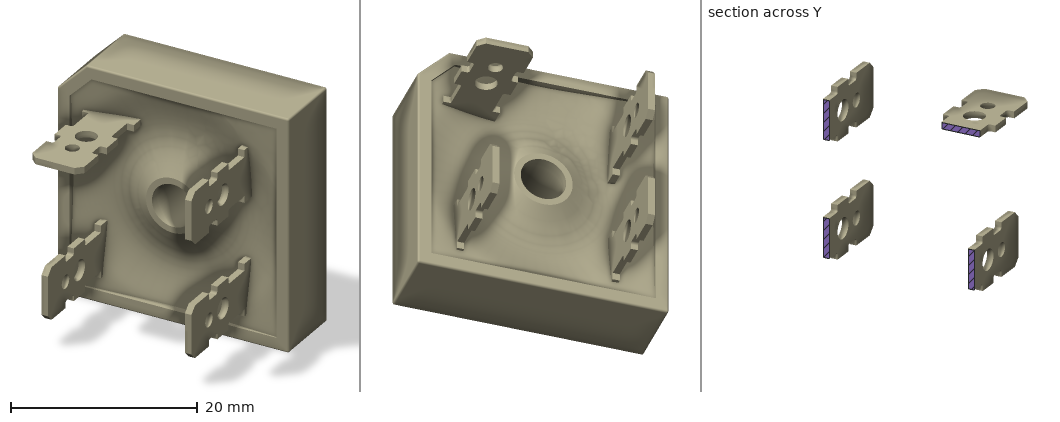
import cadquery as cq
import math


side = 28.4
case_depth = 8.35
corner_cut = 3.58
edge_radius = 0.23
rear_edge_radius = 0.1
hole_diameter = 5.15
boss_diameter = 6.62
wall = 1.5

plate_inset = 0.95
plate_height = 0.15

valley_radius = 7.38
valley_depth = 1.87
slope_radius = 12.5
slope_depth = 0.9
corner_margin = 0.15
corner_radius = (side / 2 - wall) * math.sqrt(2) + corner_margin
corner_depth = 0.15
boss_slope = 0.6
corner_slope = -0.1

mark_side = 2.1
mark_tip_setback = 1.7
mark_depth = 0.09

terminal_thickness = 0.8
terminal_length = 11.42
blade_width = 6.4
neck_width = 4.71
shoulder_setback = 0.15
root_setback = case_depth / 2
collar_start = 3.35
collar_end = 5.77
blade_start = 7.58
tip_chamfer = 0.8
notch_radius = 0.28
large_hole_diameter = 2.47
large_hole_distance = (collar_start + collar_end) / 2
small_hole_diameter = 1.65
small_hole_distance = blade_start

terminal_places = [
    (-8.07, 8.05, 0),
    (8.3, 5.77, 90),
    (8.3, -8.05, 90),
    (-9.32, -8.05, 90),
]


def case_outline(inset):
    """Square with its top-left corner cut, moved inward by inset; extrudes to -Y."""
    half = side / 2 - inset
    cut = corner_cut - inset * (2 - math.sqrt(2))
    corners = [
        (-half, -half),
        (half, -half),
        (half, half),
        (-half + cut, half),
        (-half, half - cut),
    ]
    return cq.Workplane("XZ").polyline(corners).close()


def make_case():
    """Rounded block with the base plate on its rear face."""
    block = case_outline(0).extrude(-case_depth)
    block = block.edges("|Y").fillet(edge_radius)
    block = block.faces("<Y").edges().fillet(edge_radius)
    block = block.faces(">Y").edges().fillet(rear_edge_radius)
    plate = case_outline(plate_inset).extrude(-(case_depth + plate_height))
    return block.union(plate)


def make_valley():
    """Space above the potting, bounded by the case walls and the boss."""
    ring = (
        cq.Workplane("XY")
        .moveTo(boss_diameter / 2, 0)
        .spline(
            [
                (valley_radius, valley_depth),
                (slope_radius, slope_depth),
                (corner_radius, corner_depth),
            ],
            tangents=[(1, boss_slope), (1, corner_slope)],
            includeCurrent=True,
        )
        .lineTo(corner_radius, 0)
        .close()
        .revolve(360, (0, 0, 0), (0, 1, 0))
    )
    return ring.intersect(case_outline(wall).extrude(-case_depth))


def make_mark():
    """Triangle pointing to the front, sunk into the cut corner."""
    cut_centre = side / 2 - corner_cut / 2
    base_setback = mark_tip_setback + mark_side * math.sqrt(3) / 2
    face = cq.Plane(
        origin=(-cut_centre, 0, cut_centre),
        xDir=(0, 1, 0),
        normal=(-1, 0, 1),
    )
    triangle = [
        (mark_tip_setback, 0),
        (base_setback, mark_side / 2),
        (base_setback, -mark_side / 2),
    ]
    return cq.Workplane(face).polyline(triangle).close().extrude(-mark_depth)


def blade_section(start, end, width):
    """Flat strip reaching from start to end in front of the case."""
    middle = -(start + end) / 2
    return cq.Workplane("XY").box(width, end - start, terminal_thickness).translate((0, middle, 0))


def notch_corners(distance):
    """Selects the edges where the neck meets a wider section at the given distance."""
    reach = neck_width / 2 + notch_radius
    return cq.selectors.BoxSelector(
        (-reach, -distance - notch_radius, -terminal_thickness),
        (reach, -distance + notch_radius, terminal_thickness),
    )


def make_terminal():
    """Terminal lying flat in the XY plane, with its blade along -Y."""
    neck = blade_section(-root_setback, blade_start + tip_chamfer, neck_width)
    collar = blade_section(collar_start, collar_end, blade_width)
    tip = blade_section(blade_start, terminal_length, blade_width)
    tip = tip.faces("<Y").edges("|Z").chamfer(tip_chamfer)
    blade = neck.union(collar).union(tip)

    for distance in [collar_start, collar_end, blade_start]:
        blade = blade.edges("|Z").edges(notch_corners(distance)).fillet(notch_radius)

    holes = [
        (large_hole_distance, large_hole_diameter),
        (small_hole_distance, small_hole_diameter),
    ]
    for distance, diameter in holes:
        drill = cq.Workplane("XY").circle(diameter / 2).extrude(2 * terminal_thickness)
        blade = blade.cut(drill.translate((0, -distance, -terminal_thickness)))

    root = blade_section(-root_setback, -shoulder_setback, blade_width)
    return blade.union(root)


result = make_case().cut(make_valley()).cut(make_mark())

terminal = make_terminal()
for x, z, turn in terminal_places:
    placed = terminal.rotate((0, 0, 0), (0, 1, 0), turn).translate((x, 0, z))
    result = result.union(placed)

mounting_hole = cq.Workplane("XZ").circle(hole_diameter / 2).extrude(-(case_depth + plate_height))
result = result.cut(mounting_hole)